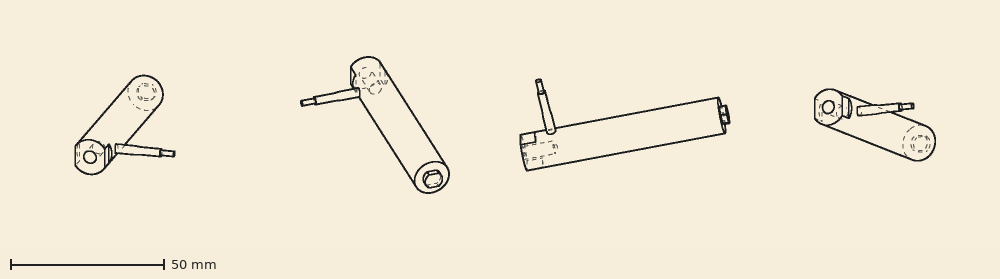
import cadquery as cq
import math

overall_length = 68.0
body_diameter = 12.0
stub_length = 2.0
body_length = overall_length - stub_length

front_flat_width = 10.0
front_flat_length = 5.0

stub_diameter = 6.0
stub_flat_width = 5.0

hole_diameter = 4.2
hole_depth = 10.0
drill_point_angle = 118.0

cable_y = 10.5
sleeve_radius = 1.5
sleeve_end = 12.0
taper_end = 14.0
cable_radius = 1.3
cable_end = 21.0
tip_radius = 0.9
tip_end = 25.5


def cylinder_with_flats(diameter, length, flat_size_x, flat_size_z, start_y):
    """Cylinder along Y, trimmed to the given sizes across X and Z."""
    cylinder = cq.Workplane("XZ", origin=(0, start_y, 0)).circle(diameter / 2).extrude(-length)
    trim = cq.Workplane("XZ", origin=(0, start_y, 0)).rect(flat_size_x, flat_size_z).extrude(-length)
    return cylinder.intersect(trim)


def make_body():
    front = cylinder_with_flats(body_diameter, front_flat_length, front_flat_width, body_diameter, 0)
    main = cylinder_with_flats(
        body_diameter, body_length - front_flat_length, body_diameter, body_diameter, front_flat_length
    )
    stub = cylinder_with_flats(stub_diameter, stub_length, stub_diameter, stub_flat_width, body_length)
    return front.union(main).union(stub)


def make_hole():
    radius = hole_diameter / 2
    point_depth = radius / math.tan(math.radians(drill_point_angle / 2))
    profile = [(0, 0), (radius, 0), (radius, hole_depth), (0, hole_depth + point_depth)]
    return cq.Workplane("XY").polyline(profile).close().revolve(360, (0, 0), (0, 1))


def make_cable():
    return (
        cq.Workplane("XY", origin=(0, cable_y, 0))
        .moveTo(0, 0)
        .lineTo(0, sleeve_radius)
        .lineTo(sleeve_end, sleeve_radius)
        .lineTo(taper_end, cable_radius)
        .lineTo(cable_end, cable_radius)
        .lineTo(cable_end, tip_radius)
        .lineTo(tip_end, tip_radius)
        .lineTo(tip_end, 0)
        .close()
        .revolve(360, (0, 0), (1, 0))
    )


result = make_body().union(make_cable()).cut(make_hole())